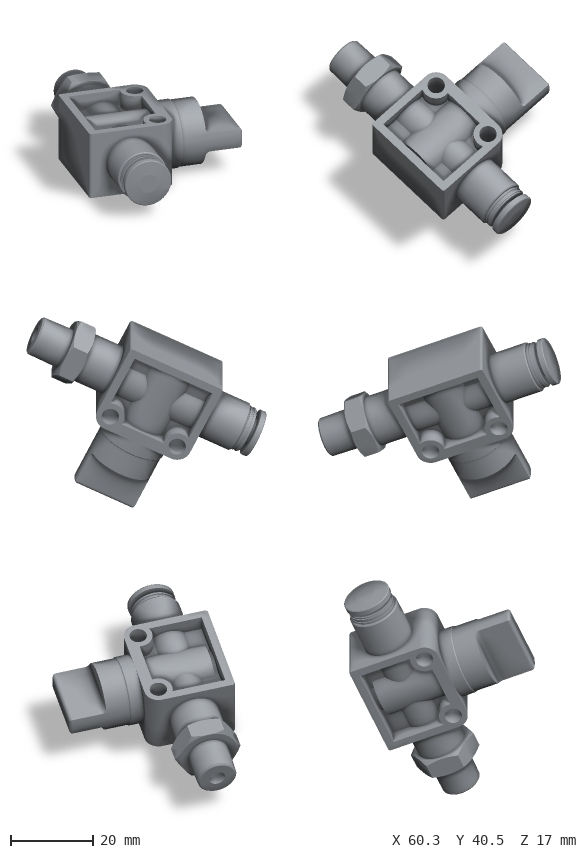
import cadquery as cq
import math


TOTAL_LENGTH = 60.3
TOTAL_DEPTH = 40.5

BODY_WIDTH = 25.1
BODY_HEIGHT = 17.0
BODY_BACK = 11.5
BODY_FRONT = -10.45
FRONT_EDGE_RADIUS = 0.6
BOSS_RADIUS = 3.5
MOUNT_HOLE_DIA = 4.2
SIDE_WALL = 2.0
BACK_WALL = 2.9
POCKET_DEPTH = 4.15

BARREL_DIA = 13.75
BARREL_FRONT = -7.35
BARREL_TIP_DIA = 11.1
PORT_TUBE_DIA = 11.8

SLEEVE_DIA = 12.5

THREAD_END = -33.45
NUT_START = -25.45
NUT_END = -20.5
NUT_FLATS = 14.35
NUT_CORNERS = NUT_FLATS / math.cos(math.pi / 6)
NUT_CHAMFER_ANGLE = math.radians(30)
THREAD_TIP_DIA = 9.75
THREAD_ROOT_DIA = 10.1
THREAD_CHAMFER = 0.4
INLET_DIA = 4.0

SLEEVE_END = 22.0
SLEEVE_CHAMFER = 0.25
CAP_DIA = 11.0
CAP_END = 24.0
RIB_DIA = 11.5
RIB_WIDTH = 0.35
RIB_STARTS = (22.3, 23.3)
NECK_DIA = 6.9
FLANGE_DIA = 11.8
FLANGE_START = 25.0
FLANGE_RIM_END = 26.3
FLANGE_EDGE = 0.2
PUSH_END = THREAD_END + TOTAL_LENGTH
PUSH_FACE_DIA = 4.75

COLLAR_DIA = 17.0
COLLAR_END = 14.95
COLLAR_CHAMFER = 0.25
KNOB_DIA = 16.5
KNOB_END = BODY_FRONT + TOTAL_DEPTH
GRIP_THICKNESS = 4.9
GRIP_LENGTH = 9.3
GRIP_ROOT_RADIUS = 1.15
GRIP_END_RADIUS = 0.8


def along_x(diameter, start, end):
    """Cylinder on the port axis between two X positions."""
    return cq.Workplane("YZ", origin=(start, 0, 0)).circle(diameter / 2).extrude(end - start)


def along_y(diameter, start, end):
    """Cylinder on the stem axis between two Y positions."""
    return cq.Workplane("XZ", origin=(0, start, 0)).circle(diameter / 2).extrude(start - end)


def block(x_range, y_range, z_range):
    """Axis-aligned box between pairs of coordinates."""
    (x0, x1), (y0, y1), (z0, z1) = x_range, y_range, z_range
    return cq.Workplane("XY").box(x1 - x0, y1 - y0, z1 - z0, centered=False).translate((x0, y0, z0))


def make_body():
    """Block cored alike from above and below, leaving mounting bosses, valve barrel and port tubes."""
    half_width = BODY_WIDTH / 2
    half_height = BODY_HEIGHT / 2
    x_inside = half_width - SIDE_WALL
    y_inside = (BODY_FRONT + SIDE_WALL, BODY_BACK - BACK_WALL)
    hole_x = half_width - BOSS_RADIUS
    holes = [(-hole_x, BODY_BACK - BOSS_RADIUS), (hole_x, BODY_BACK - BOSS_RADIUS)]

    body = block((-half_width, half_width), (BODY_FRONT, BODY_BACK), (-half_height, half_height))
    body = body.edges("|Z and >Y").fillet(BOSS_RADIUS)
    body = body.edges("|Z and <Y").fillet(FRONT_EDGE_RADIUS)

    floor = half_height - POCKET_DEPTH
    pocket = block((-x_inside, x_inside), y_inside, (floor, half_height))
    pockets = pocket.union(pocket.mirror("XY"))
    bosses = cq.Workplane("XY", origin=(0, 0, -half_height)).pushPoints(holes)
    body = body.cut(pockets.cut(bosses.circle(BOSS_RADIUS).extrude(BODY_HEIGHT)))

    body = body.union(along_y(BARREL_DIA, BARREL_FRONT, BODY_BACK))
    body = body.union(along_y(BARREL_TIP_DIA, y_inside[0], BARREL_FRONT))
    body = body.union(along_x(PORT_TUBE_DIA, -half_width, half_width))
    mount_holes = bosses.circle(MOUNT_HOLE_DIA / 2).extrude(BODY_HEIGHT)
    return body.cut(mount_holes)


def make_nut():
    """Hexagon with corners toward +Y and -Y, its corners turned down on both ends."""
    length = NUT_END - NUT_START
    flat_radius = NUT_FLATS / 2
    outside_radius = NUT_CORNERS / 2
    drop = (outside_radius - flat_radius) * math.tan(NUT_CHAMFER_ANGLE)
    hexagon = cq.Workplane("YZ", origin=(NUT_START, 0, 0)).polygon(6, NUT_CORNERS).extrude(length)
    turned = (
        cq.Workplane("XY")
        .moveTo(NUT_START, 0)
        .lineTo(NUT_START, flat_radius)
        .lineTo(NUT_START + drop, outside_radius)
        .lineTo(NUT_END - drop, outside_radius)
        .lineTo(NUT_END, flat_radius)
        .lineTo(NUT_END, 0)
        .close()
        .revolve(360, (0, 0, 0), (1, 0, 0))
    )
    return hexagon.intersect(turned)


def make_threaded_end():
    """Sleeve, nut and tapered spigot with its blind inlet hole."""
    spigot = (
        cq.Workplane("XY")
        .moveTo(THREAD_END, 0)
        .lineTo(THREAD_END, THREAD_TIP_DIA / 2 - THREAD_CHAMFER)
        .lineTo(THREAD_END + THREAD_CHAMFER, THREAD_TIP_DIA / 2)
        .lineTo(NUT_START, THREAD_ROOT_DIA / 2)
        .lineTo(NUT_START, 0)
        .close()
        .revolve(360, (0, 0, 0), (1, 0, 0))
    )
    sleeve = along_x(SLEEVE_DIA, NUT_END, -BODY_WIDTH / 2)
    inlet = along_x(INLET_DIA, THREAD_END, NUT_START)
    return spigot.union(make_nut()).union(sleeve).cut(inlet)


def make_push_in_end():
    """Sleeve, ribbed cap, neck and release flange with a conical outer face."""
    sleeve = along_x(SLEEVE_DIA, BODY_WIDTH / 2, SLEEVE_END).faces(">X").chamfer(SLEEVE_CHAMFER)
    cap = along_x(CAP_DIA, SLEEVE_END, CAP_END)
    for start in RIB_STARTS:
        cap = cap.union(along_x(RIB_DIA, start, start + RIB_WIDTH))
    neck = along_x(NECK_DIA, CAP_END, FLANGE_START)
    flange = (
        cq.Workplane("XY")
        .moveTo(FLANGE_START, 0)
        .lineTo(FLANGE_START, FLANGE_DIA / 2)
        .lineTo(FLANGE_RIM_END, FLANGE_DIA / 2)
        .lineTo(FLANGE_RIM_END + FLANGE_EDGE, FLANGE_DIA / 2 - FLANGE_EDGE)
        .lineTo(PUSH_END, PUSH_FACE_DIA / 2)
        .lineTo(PUSH_END, 0)
        .close()
        .revolve(360, (0, 0, 0), (1, 0, 0))
    )
    return sleeve.union(cap).union(neck).union(flange)


def make_knob():
    """Round knob on a collar, cut down on two sides to a flat grip."""
    collar = along_y(COLLAR_DIA, BODY_BACK, COLLAR_END).faces(">Y").chamfer(COLLAR_CHAMFER)
    knob = along_y(KNOB_DIA, COLLAR_END, KNOB_END)

    shoulder = KNOB_END - GRIP_LENGTH
    radius = KNOB_DIA / 2
    for side in (1, -1):
        z_range = sorted((side * GRIP_THICKNESS / 2, side * KNOB_DIA))
        relief = block((-radius, radius), (shoulder, KNOB_END), z_range)
        inner_edge = "<Z" if side > 0 else ">Z"
        relief = relief.faces(inner_edge).edges("<Y").fillet(GRIP_ROOT_RADIUS)
        knob = knob.cut(relief)
    knob = knob.faces(">Y").edges().fillet(GRIP_END_RADIUS)
    return collar.union(knob)


result = make_body().union(make_threaded_end()).union(make_push_in_end()).union(make_knob())